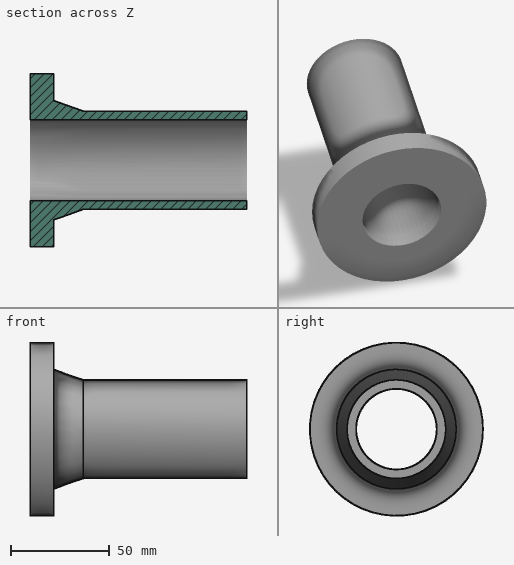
import cadquery as cq

length = 110.0
flange_diameter = 88.0
flange_thickness = 12.1
tube_diameter = 50.0
bore_diameter = 40.8

neck_base_diameter = 60.7
neck_length = 15.0

flange_radius = flange_diameter / 2
tube_radius = tube_diameter / 2
bore_radius = bore_diameter / 2
neck_base_radius = neck_base_diameter / 2
neck_end = flange_thickness + neck_length

section = (
    cq.Workplane("XY")
    .moveTo(0, bore_radius)
    .lineTo(0, flange_radius)
    .lineTo(flange_thickness, flange_radius)
    .lineTo(flange_thickness, neck_base_radius)
    .lineTo(neck_end, tube_radius)
    .lineTo(length, tube_radius)
    .lineTo(length, bore_radius)
    .close()
)

result = section.revolve(360, (0, 0, 0), (1, 0, 0))